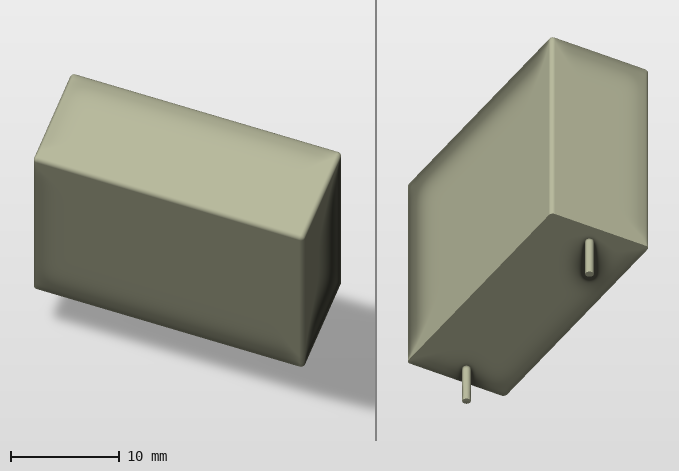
import cadquery as cq

housing_length = 26.5
housing_width = 10.5
housing_height = 20.5
edge_radius = 0.4

overall_height = 24.3
pin_length = overall_height - housing_height
pin_diameter = 0.8
pin_pitch = 22.5


def make_housing():
    """Box standing on Z = 0, rounded on every edge except those of its flat base."""
    box = cq.Workplane("XY").box(
        housing_length, housing_width, housing_height, centered=(True, True, False)
    )
    return box.edges("|Z or >Z").fillet(edge_radius)


def make_pin(x):
    """Round pin hanging from the housing base at the given X."""
    return cq.Workplane("XY").center(x, 0).circle(pin_diameter / 2).extrude(-pin_length)


housing = make_housing()
pins = [make_pin(side * pin_pitch / 2) for side in (-1, 1)]

result = cq.Compound.makeCompound([housing.val(), *[pin.val() for pin in pins]])